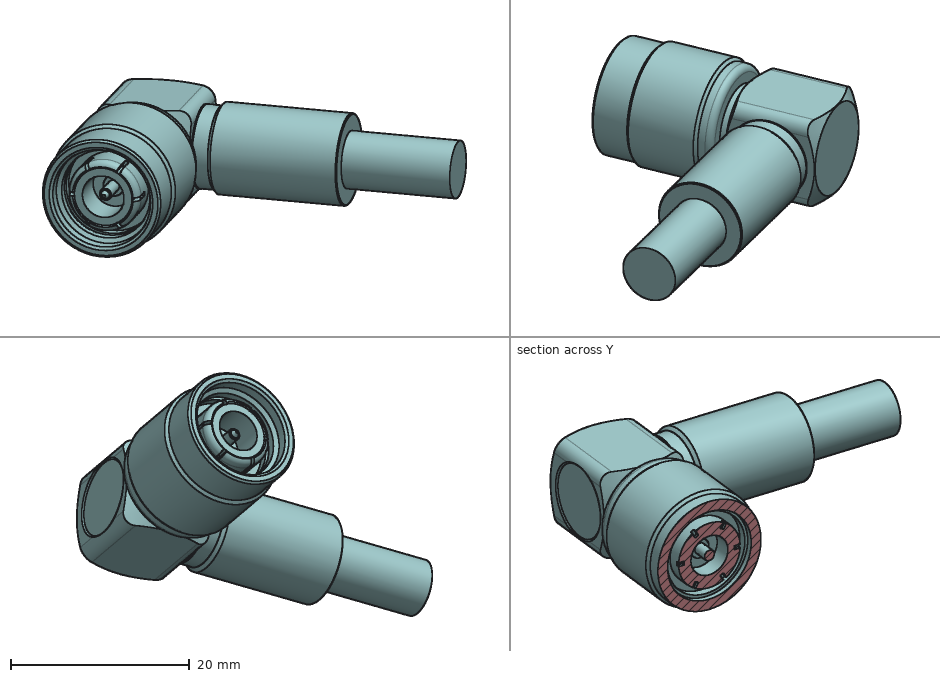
import cadquery as cq
import math


total_length = 42.55
total_depth = 27.3
total_height = 14.5
coupling_radius = total_height / 2
block_rear = 5.8
front_face = block_rear - total_depth
cable_end = total_length - coupling_radius

block_half_width = 5.55
block_half_height = 5.5
block_front = -5.45
block_edge_fillet = 1.5
nut_chamfer_start_radius = 5.45
nut_chamfer_angle = 30.0

recess_rim_radius = 4.65
recess_floor_radius = 4.43
recess_depth = 0.15

neck_radius = 4.75
collar_radius = 4.8
collar_width = 0.13
sleeve_radius = 5.25
sleeve_start = 7.5
sleeve_end = 22.65
sleeve_start_chamfer = 0.43
sleeve_end_chamfer = 0.13
cable_radius = 3.28

nut_radius = 6.9
nut_rear = -6.5
nut_rear_fillet = 0.8
nut_front_chamfer = 0.25
grip_rear = -8.2
grip_front = -17.05
grip_bevel = coupling_radius - nut_radius

mouth_radius = 6.05
entry_radius = 5.7
lead_in_depth = 0.25
entry_end_radius = 5.65
entry_depth = 1.5
bore_radius = 5.15
bore_start_depth = 1.87
relief_radius = 5.55
relief_start_depth = 2.95
relief_end_depth = 3.6
bore_floor_depth = 4.7

tube_radius = 3.35
socket_radius = 2.43
contact_front = front_face + 0.85
socket_floor = contact_front + 4.25
finger_crest_radius = 3.55
finger_root_radius = 4.13
finger_front = contact_front - 0.13
finger_curve_length = 1.05
finger_slot_count = 6
finger_slot_width = 0.43
finger_slot_length = 2.55

pin_shoulder_radius = 1.2
pin_shoulder_length = 0.2
pin_radius = 0.7
pin_front = contact_front + 0.25
pin_nose_radius = 0.5
pin_nose_length = 0.65
pin_tip_radius = 0.15
pin_tip_length = 0.5


def revolve_about_y(points):
    """Solid of revolution about the Y axis from (radius, y) points."""
    return cq.Workplane("XY").polyline(points).close().revolve(360, (0, 0, 0), (0, 1, 0))


def revolve_about_x(points):
    """Solid of revolution about the X axis from (x, radius) points."""
    return cq.Workplane("XY").polyline(points).close().revolve(360, (0, 0, 0), (1, 0, 0))


def elbow_block():
    length = block_rear - block_front
    block = (
        cq.Workplane("XY")
        .box(2 * block_half_width, length, 2 * block_half_height)
        .translate((0, block_front + length / 2, 0))
        .edges("|Y")
        .fillet(block_edge_fillet)
    )
    reach = math.hypot(block_half_width, block_half_height)
    drop = (reach - nut_chamfer_start_radius) * math.tan(math.radians(nut_chamfer_angle))
    envelope = revolve_about_y([
        (0, block_front),
        (nut_chamfer_start_radius, block_front),
        (reach, block_front + drop),
        (reach, block_rear - drop),
        (nut_chamfer_start_radius, block_rear),
        (0, block_rear),
    ])
    recess = revolve_about_x([
        (-block_half_width, 0),
        (-block_half_width, recess_rim_radius),
        (-block_half_width + recess_depth, recess_floor_radius),
        (-block_half_width + recess_depth, 0),
    ])
    return block.intersect(envelope).cut(recess)


def cable_side():
    return revolve_about_x([
        (block_half_width, 0),
        (block_half_width, collar_radius),
        (block_half_width + collar_width, collar_radius),
        (block_half_width + collar_width, neck_radius),
        (sleeve_start, neck_radius),
        (sleeve_start, sleeve_radius - sleeve_start_chamfer),
        (sleeve_start + sleeve_start_chamfer, sleeve_radius),
        (sleeve_end - sleeve_end_chamfer, sleeve_radius),
        (sleeve_end, sleeve_radius - sleeve_end_chamfer),
        (sleeve_end, cable_radius),
        (cable_end, cable_radius),
        (cable_end, 0),
    ])


def coupling_nut():
    neck = revolve_about_y([
        (0, 0),
        (neck_radius, 0),
        (neck_radius, nut_rear),
        (0, nut_rear),
    ])
    barrel = [
        (0, nut_rear),
        (nut_radius, nut_rear),
        (nut_radius, front_face),
        (0, front_face),
    ]
    body = (
        revolve_about_y(barrel)
        .faces(">Y").edges().fillet(nut_rear_fillet)
        .faces("<Y").edges().chamfer(nut_front_chamfer)
    )
    grip = revolve_about_y([
        (0, grip_rear),
        (nut_radius, grip_rear),
        (coupling_radius, grip_rear - grip_bevel),
        (coupling_radius, grip_front + grip_bevel),
        (nut_radius, grip_front),
        (0, grip_front),
    ])
    bore = revolve_about_y([
        (0, front_face),
        (mouth_radius, front_face),
        (entry_radius, front_face + lead_in_depth),
        (entry_end_radius, front_face + entry_depth),
        (bore_radius, front_face + bore_start_depth),
        (bore_radius, front_face + relief_start_depth),
        (relief_radius, front_face + relief_start_depth),
        (relief_radius, front_face + relief_end_depth),
        (bore_radius, front_face + relief_end_depth),
        (bore_radius, front_face + bore_floor_depth),
        (0, front_face + bore_floor_depth),
    ])
    return neck.union(body).union(grip).cut(bore)


def outer_contact():
    root = front_face + bore_floor_depth
    swell = finger_root_radius - finger_crest_radius
    swell_middle = (
        finger_crest_radius + swell * math.sin(math.pi / 4),
        finger_front + finger_curve_length * (1 - math.cos(math.pi / 4)),
    )
    fingers = (
        cq.Workplane("XY")
        .moveTo(0, root)
        .lineTo(finger_root_radius, root)
        .lineTo(finger_root_radius, finger_front + finger_curve_length)
        .threePointArc(swell_middle, (finger_crest_radius, finger_front))
        .lineTo(tube_radius, contact_front)
        .lineTo(0, contact_front)
        .close()
        .revolve(360, (0, 0, 0), (0, 1, 0))
    )
    slot_reach = 2 * finger_root_radius
    for index in range(finger_slot_count // 2):
        slots = (
            cq.Workplane("XY")
            .box(slot_reach, finger_slot_length, finger_slot_width)
            .translate((0, finger_front + finger_slot_length / 2, 0))
            .rotate((0, 0, 0), (0, 1, 0), index * 360 / finger_slot_count)
        )
        fingers = fingers.cut(slots)
    tube = revolve_about_y([
        (0, root),
        (tube_radius, root),
        (tube_radius, contact_front),
        (0, contact_front),
    ])
    return fingers.union(tube)


def contact_socket():
    return revolve_about_y([
        (0, socket_floor),
        (socket_radius, socket_floor),
        (socket_radius, contact_front),
        (0, contact_front),
    ])


def centre_pin():
    shoulder_front = socket_floor - pin_shoulder_length
    return revolve_about_y([
        (0, socket_floor),
        (pin_shoulder_radius, socket_floor),
        (pin_shoulder_radius, shoulder_front),
        (pin_radius, shoulder_front),
        (pin_radius, pin_front + pin_nose_length),
        (pin_nose_radius, pin_front + pin_nose_length),
        (pin_nose_radius, pin_front + pin_tip_length),
        (pin_tip_radius, pin_front),
        (0, pin_front),
    ])


result = (
    coupling_nut()
    .union(elbow_block())
    .union(cable_side())
    .union(outer_contact())
    .cut(contact_socket())
    .union(centre_pin())
)